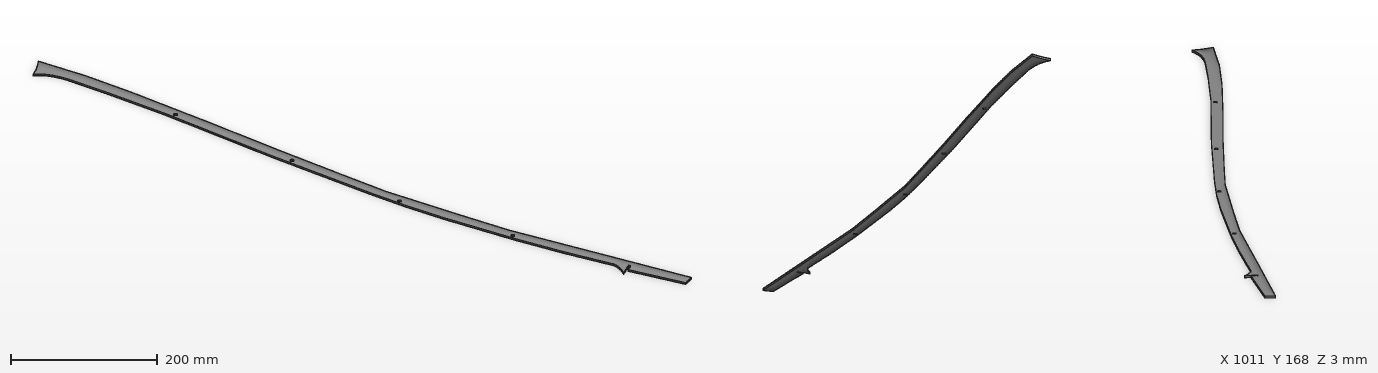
import cadquery as cq

length = 1011.0
depth = 168.0
thickness = 3.0

left_end = -length / 2
right_end = length / 2
back_limit = depth / 2
front_limit = -depth / 2

left_end_middle = (-502.2, 70.0)
left_front_corner = (-501.0, 53.0)

right_back_corner = (right_end, -61.0)
right_front_corner = (502.5, -75.2)

hook_root = (396.0, -70.3)
hook_belly = (407.0, -75.8)
hook_tip_x = 415.4
slot_width = 3.0
slot_end_y = -65.5
tail_front_y = right_front_corner[1]

back_edge_points = [
    (500.0, -60.7),
    (370.0, -54.2),
    (220.0, -47.4),
    (136.0, -37.1),
    (41.0, -25.0),
    (-32.0, -9.3),
    (-105.0, 6.1),
    (-227.0, 33.8),
    (-340.0, 58.5),
    (-422.0, 74.1),
    (left_end, back_limit),
]
front_edge_points = [
    (-488.0, 58.5),
    (-468.0, 61.0),
    (-425.0, 56.2),
    (-276.0, 28.4),
    (-154.0, 0.3),
    (-20.0, -27.3),
    (78.0, -45.6),
    (178.0, -57.9),
    (309.0, -67.8),
    hook_root,
]

hole_diameter = 5.0
hole_centers = [
    (-286.5, 36.5),
    (-100.0, -5.0),
    (70.5, -39.8),
    (243.5, -58.5),
]


def strip_outline():
    """Closed outline of the curved strip, with its flared end, hook and slot."""
    slot_far_x = hook_tip_x + slot_width
    return (
        cq.Workplane("XY")
        .moveTo(*right_back_corner)
        .spline(back_edge_points, includeCurrent=True)
        .threePointArc(left_end_middle, left_front_corner)
        .spline(front_edge_points, includeCurrent=True)
        .threePointArc(hook_belly, (hook_tip_x, front_limit))
        .lineTo(hook_tip_x, slot_end_y)
        .lineTo(slot_far_x, slot_end_y)
        .lineTo(slot_far_x, tail_front_y)
        .lineTo(*right_front_corner)
        .close()
    )


def drill_holes(body):
    """Cut the small round holes through the full thickness."""
    drills = (
        cq.Workplane("XY")
        .pushPoints(hole_centers)
        .circle(hole_diameter / 2)
        .extrude(thickness)
    )
    return body.cut(drills)


strip = strip_outline().extrude(thickness)
result = drill_holes(strip)